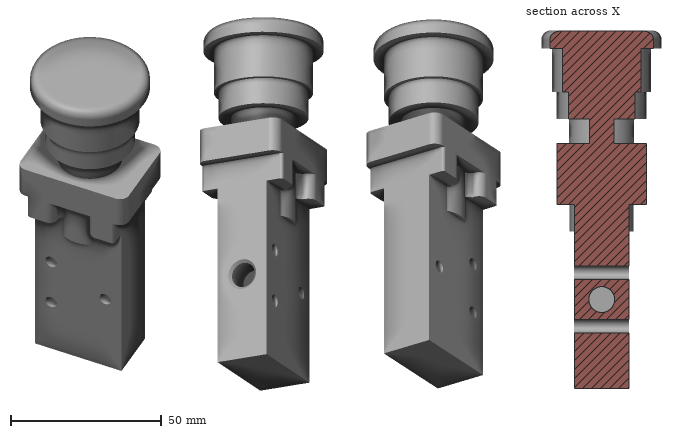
import cadquery as cq

BODY_X = 32.0
BODY_Y = 18.2
BODY_TOP = 61.2

PIN_DIAMETER = 4.3
PIN_X = 10.0
PIN_STEP_Z = 8.9
PORT_Z = 29.6
PORT_DIAMETER = 8.5
PORT_MOUTH_DIAMETER = 10.4
PORT_DEPTH = 9.5

BARREL_DIAMETER = 21.3
BARREL_BOTTOM = 52.1

CLAMP_Y = 30.0
CLAMP_TOP = 70.1
CLAMP_CORNER = 1.0
NOTCH_WIDTH = 12.4
NOTCH_CHAMFER = 2.4
NOTCH_LIP_RADIUS = 2.9

FLANGE_X = 40.0
FLANGE_TOP = 81.6
FLANGE_CORNER = 3.3

NECK_DIAMETER = 21.7
NECK_TOP = 89.6
COLLAR_DIAMETER = 30.0
COLLAR_TOP = 98.5
SLEEVE_DIAMETER = 33.1
SLEEVE_TOP = 113.0
CAP_DIAMETER = 40.0
CAP_TOP = 119.0
CAP_ROUND = 3.0


def block(size_x, size_y, bottom, top):
    """Rectangular block centred on the Z axis."""
    return cq.Workplane("XY").workplane(offset=bottom).rect(size_x, size_y).extrude(top - bottom)


def disc(diameter, bottom, top):
    """Cylinder on the Z axis."""
    return cq.Workplane("XY").workplane(offset=bottom).circle(diameter / 2).extrude(top - bottom)


def make_body():
    body = block(BODY_X, BODY_Y, 0, BODY_TOP)
    pin_places = [
        (-PIN_X, PORT_Z + PIN_STEP_Z),
        (-PIN_X, PORT_Z - PIN_STEP_Z),
        (PIN_X, PORT_Z),
    ]
    pins = cq.Workplane("XZ").pushPoints(pin_places).circle(PIN_DIAMETER / 2).extrude(BODY_Y, both=True)

    port_radius = PORT_DIAMETER / 2
    mouth_radius = PORT_MOUTH_DIAMETER / 2
    face_x = -BODY_X / 2
    port = (
        cq.Workplane("XZ")
        .moveTo(face_x, PORT_Z)
        .lineTo(face_x, PORT_Z + mouth_radius)
        .lineTo(face_x + mouth_radius - port_radius, PORT_Z + port_radius)
        .lineTo(face_x + PORT_DEPTH, PORT_Z + port_radius)
        .lineTo(face_x + PORT_DEPTH, PORT_Z)
        .close()
        .revolve(360, (face_x, PORT_Z), (face_x + PORT_DEPTH, PORT_Z))
    )
    return body.cut(pins).cut(port)


def make_notch():
    """Notch in the -Y face of the clamp, with 45 degree walls narrowing to its floor."""
    half_width = NOTCH_WIDTH / 2
    floor_half_width = half_width - NOTCH_CHAMFER
    floor_y = -BODY_Y / 2
    mouth_y = -CLAMP_Y / 2
    outline = [
        (-floor_half_width, floor_y),
        (-half_width, floor_y - NOTCH_CHAMFER),
        (-half_width, mouth_y),
        (half_width, mouth_y),
        (half_width, floor_y - NOTCH_CHAMFER),
        (floor_half_width, floor_y),
    ]
    return cq.Workplane("XY").workplane(offset=BODY_TOP).polyline(outline).close().extrude(CLAMP_TOP - BODY_TOP)


def make_clamp():
    clamp = block(BODY_X, CLAMP_Y, BODY_TOP, CLAMP_TOP).edges("|Z").fillet(CLAMP_CORNER)
    notch = make_notch()
    clamp = clamp.cut(notch).cut(notch.mirror("XZ"))
    mouth_edges = clamp.faces("<Y or >Y").edges("|Z")
    lips = mouth_edges.filter(lambda edge: abs(edge.Center().x) < NOTCH_WIDTH)
    return lips.fillet(NOTCH_LIP_RADIUS)


def make_button():
    cap = disc(CAP_DIAMETER, SLEEVE_TOP, CAP_TOP).faces(">Z").edges().fillet(CAP_ROUND)
    return (
        disc(NECK_DIAMETER, FLANGE_TOP, NECK_TOP)
        .union(disc(COLLAR_DIAMETER, NECK_TOP, COLLAR_TOP))
        .union(disc(SLEEVE_DIAMETER, COLLAR_TOP, SLEEVE_TOP))
        .union(cap)
    )


flange = block(FLANGE_X, CLAMP_Y, CLAMP_TOP, FLANGE_TOP).edges("|Z").fillet(FLANGE_CORNER)
barrel = disc(BARREL_DIAMETER, BARREL_BOTTOM, CLAMP_TOP)
result = make_body().union(make_clamp()).union(barrel).union(flange).union(make_button())